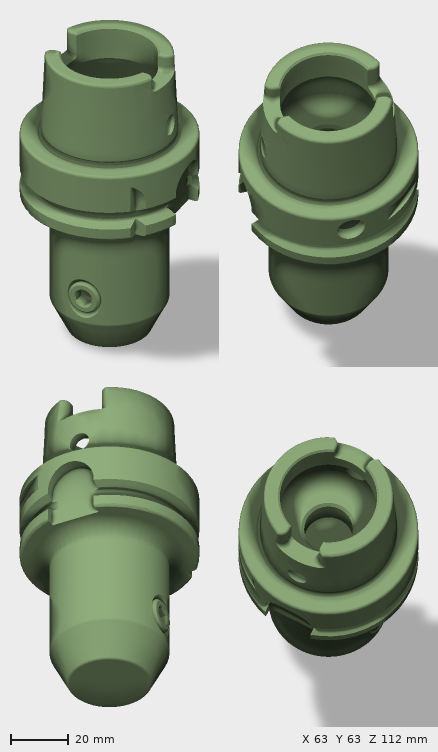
import cadquery as cq
import math

total_height = 112.0
nose_cone_top = 12.8
flange_bottom = 54.0
lower_collar_edge = 58.6
groove_bottom = 60.3
groove_top = 63.8
upper_collar_edge = 65.4
flange_top = 80.0
relief_top = 81.9

nose_radius = 14.7
body_radius = 42.0 / 2
flange_radius = 31.5
groove_lip_radius = 28.9
groove_radius = 27.3
taper_large_radius = 24.1
taper_small_radius = 22.6
relief_radius = 23.7

nose_edge_fillet = 1.0
cone_blend = 1.3
shoulder_fillet = 5.0
flange_edge_fillet = 1.0
groove_fillet = 0.3
relief_fillet = 1.0
taper_tip_fillet = 1.0
relief_slope_height = 0.7

face_groove_radius = 25.3
face_groove_depth = 0.5

cavity_mouth_radius = 17.0
cavity_mouth_chamfer = 0.7
cavity_lip_z = 99.3
cavity_inner_radius = 20.2
cavity_lip_slope_height = 1.5
cavity_floor_z = 82.0
cavity_floor_fillet = 4.3
tube_hole_radius = 8.5
tube_hole_chamfer = 1.0
tube_hole_depth = 11.2

drive_slot_width = 12.5
drive_slot_floors = {-1: 101.8, 1: 106.0}
drive_corner_radius = 3.1
drive_corner_x = 17.7
drive_floor_fillet = 1.5

cross_hole_radius = 7.5 / 2
cross_hole_z = 88.7

keyway_width = 17.9
keyway_floor = 26.4
keyway_top = 75.2
notch_floor_x = 20.0
notch_wall_y = -20.3
notch_spring_z = 68.0
marking_z = 73.0
flat_distance = 29.8
flat_height = 6.2
flat_angle = 135
chip_hole_radius = 5.0
chip_hole_depth = 4.6

screw_z = 22.6
screw_radius = 6.0
screw_countersink_radius = 7.7
screw_face_chamfer = 0.8
screw_socket_flats = 6.0
screw_socket_mouth_radius = 3.6
screw_socket_depth = 4.5
screw_socket_tip_radius = 2.2


def turned_body():
    """Outer body of revolution about Z, without any cuts."""
    relief_floor = flange_top - face_groove_depth
    profile = (
        cq.Workplane("XZ")
        .lineTo(nose_radius, 0)
        .lineTo(body_radius, nose_cone_top)
        .lineTo(body_radius, flange_bottom - shoulder_fillet)
        .radiusArc((body_radius + shoulder_fillet, flange_bottom), shoulder_fillet)
        .lineTo(flange_radius, flange_bottom)
        .lineTo(flange_radius, lower_collar_edge)
        .lineTo(groove_lip_radius, groove_bottom)
        .lineTo(groove_radius, groove_bottom)
        .lineTo(groove_radius, groove_top)
        .lineTo(groove_lip_radius, groove_top)
        .lineTo(flange_radius, upper_collar_edge)
        .lineTo(flange_radius, flange_top)
        .lineTo(face_groove_radius, flange_top)
        .lineTo(relief_radius + relief_fillet, relief_floor)
        .radiusArc((relief_radius, relief_floor + relief_fillet), relief_fillet)
        .lineTo(relief_radius, relief_top - relief_slope_height)
        .lineTo(taper_large_radius, relief_top)
        .lineTo(taper_small_radius, total_height)
        .lineTo(0, total_height)
        .close()
    )
    body = profile.revolve(360, (0, 0, 0), (0, 1, 0))
    body = body.edges(ring_at(nose_radius, 0)).fillet(nose_edge_fillet)
    body = body.edges(ring_at(body_radius, nose_cone_top)).fillet(cone_blend)
    for z in (groove_bottom, groove_top):
        body = body.edges(ring_at(groove_radius, z)).fillet(groove_fillet)
    for z in (flange_bottom, flange_top):
        body = body.edges(ring_at(flange_radius, z)).fillet(flange_edge_fillet)
    return body.edges(ring_at(taper_small_radius, total_height)).fillet(taper_tip_fillet)


def ring_at(radius, z):
    """Selector for the circular edge of the given radius centred on Z at height z."""
    half = radius + 0.06
    return cq.selectors.BoxSelector((-half, -half, z - 0.06), (half, half, z + 0.06), boundingbox=True)


def cavity():
    """Undercut clamping cavity with the coolant tube hole in its floor."""
    cavity_floor_radius = cavity_inner_radius - cavity_floor_fillet
    tube_hole_edge = tube_hole_radius + tube_hole_chamfer
    return (
        cq.Workplane("XZ")
        .moveTo(0, total_height)
        .lineTo(cavity_mouth_radius + cavity_mouth_chamfer, total_height)
        .lineTo(cavity_mouth_radius, total_height - cavity_mouth_chamfer)
        .lineTo(cavity_mouth_radius, cavity_lip_z)
        .lineTo(cavity_inner_radius, cavity_lip_z - cavity_lip_slope_height)
        .lineTo(cavity_inner_radius, cavity_floor_z + cavity_floor_fillet)
        .radiusArc((cavity_floor_radius, cavity_floor_z), cavity_floor_fillet)
        .lineTo(tube_hole_edge, cavity_floor_z)
        .lineTo(tube_hole_radius, cavity_floor_z - tube_hole_chamfer)
        .lineTo(tube_hole_radius, cavity_floor_z - tube_hole_depth)
        .lineTo(0, cavity_floor_z - tube_hole_depth)
        .close()
        .revolve(360, (0, 0, 0), (0, 1, 0))
    )


def drive_slot(side, floor_z):
    """Cutter for the drive slot on the -X or +X side, flared around rounded lug corners."""
    half_width = drive_slot_width / 2
    corner_y = half_width + drive_corner_radius
    corner_angle = math.atan2(corner_y, drive_corner_x)
    corner_distance = math.hypot(drive_corner_x, corner_y)

    def flare_point(distance):
        """Point on the line from the axis through the corner centre."""
        return distance * math.cos(corner_angle), distance * math.sin(corner_angle)

    flare_start = flare_point(corner_distance + drive_corner_radius)
    slot = (
        cq.Workplane("XY", origin=(0, 0, floor_z))
        .lineTo(0, half_width)
        .lineTo(drive_corner_x, half_width)
        .tangentArcPoint(flare_start, relative=False)
        .lineTo(*flare_point(flange_radius))
        .lineTo(flange_radius, 0)
        .close()
        .extrude(total_height)
    )
    slot = slot.union(slot.mirror("XZ")).edges("<Z").fillet(drive_floor_fillet)
    return slot if side > 0 else slot.mirror("YZ")


def slotted_envelope():
    """Plain cylinder with the cavity and drive slots cut in, rounded at the top of the slot walls."""
    envelope = cq.Workplane("XY").circle(flange_radius).extrude(total_height).cut(cavity())
    for side, floor_z in drive_slot_floors.items():
        envelope = envelope.cut(drive_slot(side, floor_z))
    reach_y = drive_slot_width / 2 + drive_corner_radius
    wall_tops = cq.selectors.BoxSelector(
        (-taper_large_radius, -reach_y, total_height - 0.1),
        (taper_large_radius, reach_y, total_height + 0.1),
    )
    return envelope.edges(wall_tops).fillet(taper_tip_fillet)


def cross_hole():
    """Round hole along X through both walls of the taper."""
    return (
        cq.Workplane("YZ", origin=(0, 0, cross_hole_z))
        .circle(cross_hole_radius)
        .extrude(flange_radius, both=True)
    )


def round_topped_slot(floor_x, centre_y, spring_z):
    """Cutter for a slot milled in from the +X side, open below the flange and round at its top."""
    half_width = keyway_width / 2
    return (
        cq.Workplane("YZ", origin=(floor_x, 0, 0))
        .moveTo(centre_y - half_width, flange_bottom)
        .lineTo(centre_y + half_width, flange_bottom)
        .lineTo(centre_y + half_width, spring_z)
        .threePointArc((centre_y, spring_z + half_width), (centre_y - half_width, spring_z))
        .close()
        .extrude(flange_radius)
    )


def keyways():
    """Two opposite keyways in the flange, on -X and +X."""
    keyway = round_topped_slot(keyway_floor, 0, keyway_top - keyway_width / 2)
    return keyway.union(keyway.rotate((0, 0, 0), (0, 0, 1), 180))


def orientation_notch():
    """Corner notch in the flange between the +X and -Y sides."""
    return round_topped_slot(notch_floor_x, notch_wall_y - keyway_width / 2, notch_spring_z)


def marking_flat():
    """Shallow flat on the flange between the -X and +Y sides."""
    return (
        cq.Workplane("XY")
        .box(flange_radius, 2 * flange_radius, flat_height, centered=(False, True, True))
        .translate((flat_distance, 0, marking_z))
        .rotate((0, 0, 0), (0, 0, 1), flat_angle)
    )


def chip_hole():
    """Blind round hole for a data chip on the +Y side of the flange."""
    return (
        cq.Workplane("XZ", origin=(0, flange_radius - chip_hole_depth, marking_z))
        .circle(chip_hole_radius)
        .extrude(-flange_radius)
    )


def screw_pocket():
    """Countersink in the nose that surrounds the clamping screw."""
    bottom = screw_countersink_radius - screw_radius - body_radius
    return (
        cq.Workplane("XY")
        .moveTo(0, -body_radius)
        .lineTo(screw_countersink_radius, -body_radius)
        .lineTo(screw_radius, bottom)
        .lineTo(0, bottom)
        .close()
        .revolve(360, (0, 0, 0), (0, 1, 0))
        .translate((0, 0, screw_z))
    )


def clamping_screw():
    """Chamfered screw with a flat face level with the outermost line of the nose."""
    return (
        cq.Workplane("XZ", origin=(0, -body_radius, screw_z))
        .circle(screw_radius)
        .extrude(-screw_socket_depth)
        .faces("<Y")
        .chamfer(screw_face_chamfer)
    )


def hex_socket():
    """Hexagonal socket going in along +Y from the screw face, with a cone at its bottom."""
    face = body_radius
    apothem = screw_socket_flats / 2
    corner = apothem / math.cos(math.pi / 6)
    bottom = screw_socket_depth - face
    tip = bottom + apothem - screw_socket_tip_radius
    mouth_cone = screw_socket_mouth_radius - apothem
    hexagon = (
        cq.Workplane("XZ", origin=(0, -face, 0))
        .transformed(rotate=(0, 0, 90))
        .polygon(6, 2 * corner)
        .extrude(-screw_socket_depth)
    )
    cones = (
        cq.Workplane("XY")
        .moveTo(0, -face)
        .lineTo(screw_socket_mouth_radius, -face)
        .lineTo(apothem, mouth_cone - face)
        .lineTo(apothem, bottom)
        .lineTo(screw_socket_tip_radius, tip)
        .lineTo(0, tip)
        .close()
        .revolve(360, (0, 0, 0), (0, 1, 0))
    )
    return hexagon.union(cones).translate((0, 0, screw_z))


result = turned_body().intersect(slotted_envelope())
for cutter in (cross_hole(), keyways(), orientation_notch(), marking_flat(), chip_hole(), screw_pocket()):
    result = result.cut(cutter)
result = result.union(clamping_screw()).cut(hex_socket())